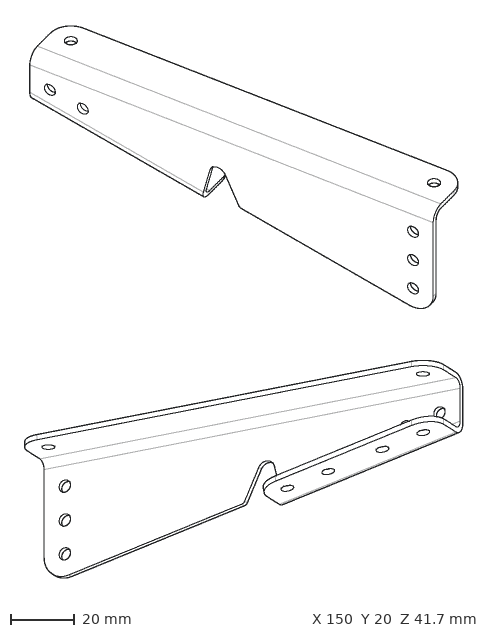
import cadquery as cq
import math

length = 150.0
flange_width = 20.0
height = 41.7
sheet = 1.8
bend_inner_radius = 2.7
bend_radius = bend_inner_radius + sheet
corner_radius = 7.5
hole_diameter = 4.0
hole_inset = 7.5

slope = math.atan(0.2)
lower_flange_drop = 20.1
lower_flange_length = 65.0

right_hole_pitch = (height - hole_inset) / 3
left_hole_pitch = 12.5
lower_hole_pitch = 15.0

notch_radius = 3.0
notch_right_angle = math.radians(64)
notch_x = 69.9
notch_top_drop = 16.2
notch_mouth_radius = 1.5


def sloped_point(along, inward):
    """XZ point measured along and square to the lower flange's outer face."""
    x = along * math.cos(slope) + inward * math.sin(slope)
    z = -lower_flange_drop - along * math.sin(slope) + inward * math.cos(slope)
    return (x, z)


def flange_section(plane):
    """Bend and flange cross-section; local x runs across, local y runs inward."""
    bend_middle = math.sqrt(0.5)
    outer_middle = bend_radius * (1 - bend_middle)
    inner_middle = bend_radius - bend_inner_radius * bend_middle
    return (
        cq.Workplane(plane)
        .moveTo(0, bend_radius)
        .threePointArc((outer_middle, outer_middle), (bend_radius, 0))
        .lineTo(flange_width, 0)
        .lineTo(flange_width, sheet)
        .lineTo(bend_radius, sheet)
        .threePointArc((inner_middle, inner_middle), (sheet, bend_radius))
        .close()
    )


def drill(body, plane, points):
    """Drill through one sheet, centred on the plane's origin surface."""
    tools = (
        cq.Workplane(plane)
        .pushPoints(points)
        .circle(hole_diameter / 2)
        .extrude(sheet * 2, both=True)
    )
    return body.cut(tools)


def make_web():
    corner_x = length - corner_radius
    corner_z = corner_radius - height
    tangent_x = corner_x - corner_radius * math.sin(slope)
    tangent_z = corner_z - corner_radius * math.cos(slope)
    arc_angle = (math.pi / 2 - slope) / 2
    arc_middle = (
        corner_x + corner_radius * math.sin(arc_angle),
        corner_z - corner_radius * math.cos(arc_angle),
    )

    fold_end = sloped_point(lower_flange_length, bend_radius)
    notch_z = -notch_top_drop - notch_radius
    reach_x = notch_x - fold_end[0]
    reach_z = notch_z - fold_end[1]
    left_lean = math.atan2(reach_x, reach_z) - math.asin(notch_radius / math.hypot(reach_x, reach_z))
    left_x = notch_x - notch_radius * math.cos(left_lean)
    left_z = notch_z + notch_radius * math.sin(left_lean)
    right_x = notch_x + notch_radius * math.sin(notch_right_angle)
    right_z = notch_z + notch_radius * math.cos(notch_right_angle)
    right_fall = math.tan(notch_right_angle)
    edge_fall = math.tan(slope)
    mouth_run = (right_z - tangent_z + edge_fall * (right_x - tangent_x)) / (right_fall - edge_fall)
    mouth_x = right_x + mouth_run
    mouth_z = right_z - mouth_run * right_fall

    fold_start_z = -lower_flange_drop + bend_radius / math.cos(slope)
    web = (
        cq.Workplane("XZ")
        .moveTo(0, -bend_radius)
        .lineTo(length, -bend_radius)
        .lineTo(length, corner_z)
        .threePointArc(arc_middle, (tangent_x, tangent_z))
        .lineTo(mouth_x, mouth_z)
        .lineTo(right_x, right_z)
        .threePointArc((notch_x, -notch_top_drop), (left_x, left_z))
        .lineTo(*fold_end)
        .lineTo(0, fold_start_z)
        .close()
        .extrude(-sheet)
    )
    mouth_edge = cq.selectors.NearestToPointSelector((mouth_x, sheet / 2, mouth_z))
    web = web.edges("|Y").edges(mouth_edge).fillet(notch_mouth_radius)

    right_holes = [(length - hole_inset, -right_hole_pitch * i) for i in (1, 2, 3)]
    left_holes = [
        (
            hole_inset + left_hole_pitch * i * math.cos(slope),
            -right_hole_pitch - left_hole_pitch * i * math.sin(slope),
        )
        for i in (0, 1)
    ]
    return drill(web, "XZ", right_holes + left_holes)


def make_top_flange():
    section = cq.Plane(origin=(0, 0, 0), xDir=(0, 1, 0), normal=(-1, 0, 0))
    flange = flange_section(section).extrude(-length)
    flange = flange.edges("|Z and >Y").fillet(corner_radius)
    hole_y = flange_width - hole_inset
    return drill(flange, "XY", [(hole_inset, hole_y), (length - hole_inset, hole_y)])


def make_lower_flange():
    along = cq.Vector(math.cos(slope), 0, -math.sin(slope))
    inward = cq.Vector(math.sin(slope), 0, math.cos(slope))
    end_x, end_z = sloped_point(lower_flange_length, 0)
    section = cq.Plane(origin=(end_x, 0, end_z), xDir=(0, 1, 0), normal=along)
    flange = flange_section(section).extrude(-lower_flange_length - bend_radius)
    trim = cq.Workplane("XY").box(length, length, length).translate((-length / 2, 0, 0))
    flange = flange.cut(trim)
    flange = flange.edges("|Z and >Y").fillet(corner_radius)
    end_edge = cq.selectors.ParallelDirSelector(inward)
    flange = flange.edges(end_edge).edges(">Y").fillet(corner_radius)

    face = cq.Plane(origin=(0, 0, -lower_flange_drop), xDir=along, normal=inward)
    first = hole_inset
    last = lower_flange_length - hole_inset
    places = [first, first + lower_hole_pitch, last - lower_hole_pitch, last]
    return drill(flange, face, [(u, flange_width - hole_inset) for u in places])


result = make_web().union(make_top_flange()).union(make_lower_flange())